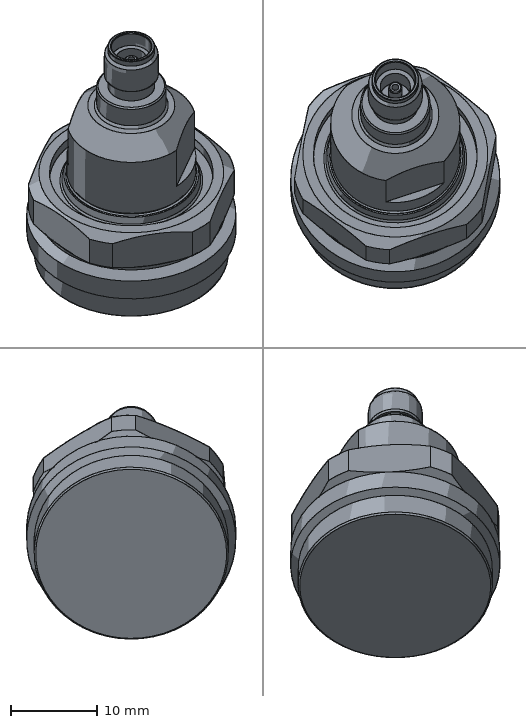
import cadquery as cq
import math

OVERALL_HEIGHT = 31.63

MAX_DIAMETER = 24.2
RING_RADIUS = MAX_DIAMETER / 2
SKIRT_RADIUS = 11.23
SKIRT_CHAMFER = 0.2
SKIRT_TOP = 3.1
RING_BOTTOM = 3.55
RING_TOP = 6.23
NECK_RADIUS = 10.9
NECK_BOTTOM = 6.93

HEX_ACROSS_FLATS = 22.0
HEX_CORNER_RADIUS = 12.0
HEX_TOP_RADIUS = 10.7
HEX_BOTTOM = 7.4
HEX_TOP = 12.4
HEX_CHAMFER_ANGLE = 30.0
RECESS_RADIUS = 9.45
RECESS_FLOOR = 11.2

COLLAR_BASE_RADIUS = 8.25
COLLAR_LOWER_RADIUS = 8.03
COLLAR_TOP_RADIUS = 7.8
COLLAR_TOP = 12.27
SEAT_RADIUS = 7.6
SEAT_DROP = 0.13

BODY_RADIUS = 7.45
BODY_FOOT_RADIUS = 7.1
BODY_BOTTOM = 12.6
BODY_CONE_BOTTOM = 20.35
BODY_TOP = 22.65
BODY_TOP_RADIUS = 5.03
FLATS_WIDTH = 13.1
FLATS_BOTTOM = 14.87

SHOULDER_RADIUS = 4.02
SHOULDER_FOOT_RADIUS = 4.27
SHOULDER_FOOT_HEIGHT = 0.32
SHOULDER_TOP = 25.62
SHOULDER_CHAMFER = 0.175

BARREL_NECK_DIAMETER = 5.4
BARREL_NECK_RADIUS = BARREL_NECK_DIAMETER / 2
THREAD_RADIUS = 3.13
THREAD_BOTTOM = 27.2
THREAD_CHAMFER = 0.205
THREAD_TAPER_BOTTOM = 30.1
THREAD_TAPER_TOP = 30.62
THREAD_TAPER_RADIUS = 3.07
THREAD_TOP = 30.9
RIM_OUTER_CHAMFER = 0.05

BORE_RADIUS = 2.3
BORE_FLOOR = 29.8
BORE_FLOOR_CHAMFER = 0.03
BORE_FLOOR_CHAMFER_HEIGHT = 0.3
RIM_INNER_CHAMFER = 0.1
CAVITY_RADIUS = 1.75
CAVITY_FLOOR = 27.2
CONTACT_RADIUS = 0.75
CONTACT_TOP = 29.67
CONTACT_CHAMFER = 0.13
CONTACT_HOLE_RADIUS = 0.38
CONTACT_HOLE_DEPTH = 1.58


def revolve_profile(points):
    """Solid of revolution about Z from (radius, z) points."""
    return cq.Workplane("XZ").polyline(points).close().revolve(360, (0, 0, 0), (0, 1, 0))


def cylinder(radius, bottom, top):
    return cq.Workplane("XY").workplane(offset=bottom).circle(radius).extrude(top - bottom)


def make_nut_base():
    return revolve_profile([
        (0, 0),
        (SKIRT_RADIUS - SKIRT_CHAMFER, 0),
        (SKIRT_RADIUS, SKIRT_CHAMFER),
        (SKIRT_RADIUS, SKIRT_TOP),
        (RING_RADIUS, RING_BOTTOM),
        (RING_RADIUS, RING_TOP),
        (NECK_RADIUS, NECK_BOTTOM),
        (NECK_RADIUS, HEX_BOTTOM),
        (0, HEX_BOTTOM),
    ])


def make_hexagon():
    slope = math.tan(math.radians(HEX_CHAMFER_ANGLE))
    top_chamfer = (HEX_CORNER_RADIUS - HEX_TOP_RADIUS) * slope
    bottom_chamfer = (HEX_CORNER_RADIUS - NECK_RADIUS) * slope
    turned_blank = revolve_profile([
        (0, HEX_BOTTOM),
        (NECK_RADIUS, HEX_BOTTOM),
        (HEX_CORNER_RADIUS, HEX_BOTTOM + bottom_chamfer),
        (HEX_CORNER_RADIUS, HEX_TOP - top_chamfer),
        (HEX_TOP_RADIUS, HEX_TOP),
        (0, HEX_TOP),
    ])
    prism = (
        cq.Workplane("XY")
        .workplane(offset=HEX_BOTTOM)
        .polygon(6, HEX_ACROSS_FLATS, circumscribed=True)
        .extrude(HEX_TOP - HEX_BOTTOM)
    )
    return turned_blank.intersect(prism).cut(cylinder(RECESS_RADIUS, RECESS_FLOOR, HEX_TOP))


def make_collar_and_body():
    collar_bevel = COLLAR_BASE_RADIUS - COLLAR_LOWER_RADIUS
    body = revolve_profile([
        (0, RECESS_FLOOR),
        (COLLAR_BASE_RADIUS, RECESS_FLOOR),
        (COLLAR_LOWER_RADIUS, RECESS_FLOOR + collar_bevel),
        (COLLAR_TOP_RADIUS, COLLAR_TOP),
        (SEAT_RADIUS, COLLAR_TOP),
        (SEAT_RADIUS, COLLAR_TOP - SEAT_DROP),
        (BODY_FOOT_RADIUS, COLLAR_TOP - SEAT_DROP),
        (BODY_FOOT_RADIUS, BODY_BOTTOM),
        (BODY_RADIUS, BODY_BOTTOM),
        (BODY_RADIUS, BODY_CONE_BOTTOM),
        (BODY_TOP_RADIUS, BODY_TOP),
        (0, BODY_TOP),
    ])
    flat_depth = BODY_RADIUS - FLATS_WIDTH / 2
    for side in (-1, 1):
        offcut = cq.Workplane("XY").box(
            flat_depth, 2 * BODY_RADIUS, BODY_TOP - FLATS_BOTTOM, centered=(True, True, False)
        )
        body = body.cut(offcut.translate((side * (BODY_RADIUS - flat_depth / 2), 0, FLATS_BOTTOM)))
    return body


def make_shoulder_and_barrel():
    return revolve_profile([
        (0, BODY_TOP),
        (SHOULDER_FOOT_RADIUS, BODY_TOP),
        (SHOULDER_RADIUS, BODY_TOP + SHOULDER_FOOT_HEIGHT),
        (SHOULDER_RADIUS, SHOULDER_TOP - SHOULDER_CHAMFER),
        (SHOULDER_RADIUS - SHOULDER_CHAMFER, SHOULDER_TOP),
        (BARREL_NECK_RADIUS, SHOULDER_TOP),
        (BARREL_NECK_RADIUS, THREAD_BOTTOM),
        (THREAD_RADIUS - THREAD_CHAMFER, THREAD_BOTTOM),
        (THREAD_RADIUS, THREAD_BOTTOM + THREAD_CHAMFER),
        (THREAD_RADIUS, THREAD_TAPER_BOTTOM),
        (THREAD_TAPER_RADIUS, THREAD_TAPER_TOP),
        (BARREL_NECK_RADIUS, THREAD_TOP),
        (BARREL_NECK_RADIUS, OVERALL_HEIGHT - RIM_OUTER_CHAMFER),
        (BARREL_NECK_RADIUS - RIM_OUTER_CHAMFER, OVERALL_HEIGHT),
        (0, OVERALL_HEIGHT),
    ])


def make_socket_void():
    return revolve_profile([
        (0, CAVITY_FLOOR),
        (CAVITY_RADIUS, CAVITY_FLOOR),
        (CAVITY_RADIUS, BORE_FLOOR),
        (BORE_RADIUS - BORE_FLOOR_CHAMFER, BORE_FLOOR),
        (BORE_RADIUS, BORE_FLOOR + BORE_FLOOR_CHAMFER_HEIGHT),
        (BORE_RADIUS, OVERALL_HEIGHT - RIM_INNER_CHAMFER),
        (BORE_RADIUS + RIM_INNER_CHAMFER, OVERALL_HEIGHT),
        (0, OVERALL_HEIGHT),
    ])


def make_contact():
    pin = cylinder(CONTACT_RADIUS, CAVITY_FLOOR, CONTACT_TOP).faces(">Z").chamfer(CONTACT_CHAMFER)
    return pin.cut(cylinder(CONTACT_HOLE_RADIUS, CONTACT_TOP - CONTACT_HOLE_DEPTH, CONTACT_TOP))


result = (
    make_nut_base()
    .union(make_hexagon())
    .union(make_collar_and_body())
    .union(make_shoulder_and_barrel())
    .cut(make_socket_void())
    .union(make_contact())
)